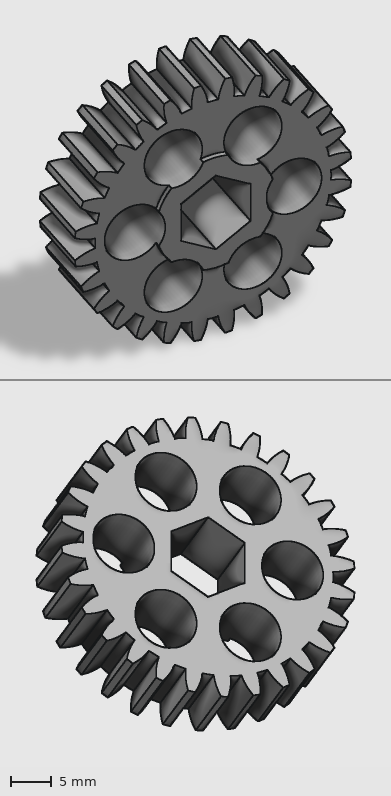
import cadquery as cq
import math

tooth_count = 28
face_width = 9.53
tip_radius = 19.05
pitch_radius = 17.8
root_radius = 16.2

tip_thickness = 0.95
pitch_thickness = 1.8
root_thickness = 2.2

hex_sides = 6
hex_across_flats = 9.53
hex_across_corners = hex_across_flats / math.cos(math.pi / hex_sides)

hole_count = 6
hole_diameter = 7.97
hole_circle_radius = 10.93

boss_radius = 8.25
boss_height = 0.75

total_width = face_width + boss_height
tooth_pitch = 2 * math.pi / tooth_count


def polar(radius, angle):
    """Point (Y, Z) at a radius and an angle turned from +Y towards +Z."""
    return radius * math.cos(angle), radius * math.sin(angle)


def half_angle(thickness, radius):
    """Angle between a tooth's centre line and its flank at a radius."""
    return math.asin(thickness / 2 / radius)


def make_toothed_rim():
    """Gear blank with curved tooth flanks; a tooth space is centred on +Y."""
    tip = half_angle(tip_thickness, tip_radius)
    pitch = half_angle(pitch_thickness, pitch_radius)
    root = half_angle(root_thickness, root_radius)

    first_centre = tooth_pitch / 2
    outline = cq.Workplane("YZ").moveTo(*polar(root_radius, first_centre - root))
    for tooth in range(tooth_count):
        centre = first_centre + tooth * tooth_pitch
        space_centre = centre + tooth_pitch / 2
        next_root = centre + tooth_pitch - root
        outline = (
            outline
            .threePointArc(polar(pitch_radius, centre - pitch), polar(tip_radius, centre - tip))
            .threePointArc(polar(tip_radius, centre), polar(tip_radius, centre + tip))
            .threePointArc(polar(pitch_radius, centre + pitch), polar(root_radius, centre + root))
            .threePointArc(polar(root_radius, space_centre), polar(root_radius, next_root))
        )
    return outline.close().extrude(face_width)


def make_boss():
    return cq.Workplane("YZ").circle(boss_radius).extrude(total_width)


def make_hex_bore():
    corner_angle = 90
    return (
        cq.Workplane("YZ")
        .transformed(rotate=(0, 0, corner_angle))
        .polygon(hex_sides, hex_across_corners)
        .extrude(total_width)
    )


def make_lightening_holes():
    """Holes equally spaced from +Y, as long as the whole part."""
    return (
        cq.Workplane("YZ")
        .polarArray(hole_circle_radius, 0, 360, hole_count)
        .circle(hole_diameter / 2)
        .extrude(total_width)
    )


gear = make_toothed_rim().union(make_boss())
result = gear.cut(make_hex_bore()).cut(make_lightening_holes())